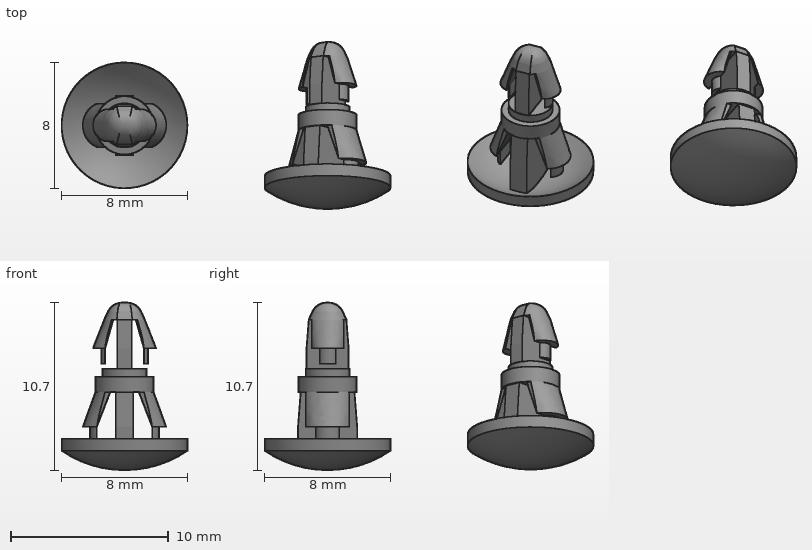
import cadquery as cq
import math

FOOT_RADIUS = 3.999
FOOT_RIM_BOTTOM = 1.25
FOOT_RIM_TOP = 2.0
HOLLOW_DEPTH = 1.47

COLLAR_RADIUS = 3.7 / 2
COLLAR_BOTTOM = 4.95
COLLAR_TOP = 5.94
STEP_RADIUS = 2.8 / 2
STEP_TOP = 6.45

NOSE_BOTTOM = 9.54
NOSE_SHOULDER = 10.09
NOSE_TOP = 10.65
NOSE_BASE_RADIUS = 1.3
NOSE_SHOULDER_RADIUS = 1.05
NOSE_TIP_RADIUS = 0.14
FLAT_DEPTH = 0.1

LOWER_WEB_THICKNESS = 1.13
LOWER_WEB_BOTTOM_HALF = 1.89
LOWER_WEB_TOP_HALF = 1.71
UPPER_WEB_THICKNESS = 0.94
UPPER_WEB_BOTTOM_HALF = 1.34
UPPER_WEB_TOP_HALF = NOSE_BASE_RADIUS - FLAT_DEPTH

LOWER_BARB_BOTTOM = 2.75
LOWER_BARB_HALF_WIDTH = 1.37
LOWER_BARB_INNER_TOP = 0.9
LOWER_BARB_INNER_BOTTOM = 1.76
LOWER_BARB_REACH = 2.65
LOWER_PEG_BOTTOM = 1.73
LOWER_PEG_HALF_WIDTH = 0.76
LOWER_PEG_DEPTH = 0.44
UPPER_BARB_BOTTOM = 7.74
UPPER_BARB_HALF_WIDTH = 1.01
UPPER_BARB_INNER_TOP = 0.71
UPPER_BARB_INNER_BOTTOM = 1.22
UPPER_BARB_REACH = 2.0
UPPER_PEG_BOTTOM = 6.75
UPPER_PEG_HALF_WIDTH = 0.506
UPPER_PEG_DEPTH = 0.27


def arc_radius(half_chord, rise):
    return (half_chord**2 + rise**2) / (2 * rise)


def disc(radius, bottom, top):
    return cq.Workplane("XY").workplane(offset=bottom).circle(radius).extrude(top - bottom)


def box_between(x_min, x_max, half_width, bottom, top):
    base = cq.Workplane("XY").box(x_max - x_min, 2 * half_width, top - bottom, centered=(False, True, False))
    return base.translate((x_min, 0, bottom))


def make_hollow():
    """Ball whose lower cap is the hollow in the foot."""
    radius = arc_radius(FOOT_RADIUS, HOLLOW_DEPTH)
    return cq.Workplane("XY").sphere(radius).translate((0, 0, FOOT_RIM_TOP - HOLLOW_DEPTH + radius))


def make_foot():
    radius = arc_radius(FOOT_RADIUS, FOOT_RIM_BOTTOM)
    bulge = cq.Workplane("XY").sphere(radius).translate((0, 0, radius))
    return disc(FOOT_RADIUS, 0, FOOT_RIM_TOP).intersect(bulge).cut(make_hollow())


def make_web(thickness, bottom_half, top_half, bottom, bend, top):
    outline = [
        (-bottom_half, bottom),
        (bottom_half, bottom),
        (bottom_half, bend),
        (top_half, top),
        (-top_half, top),
        (-bottom_half, bend),
    ]
    return cq.Workplane("YZ").polyline(outline).close().extrude(thickness / 2, both=True)


def make_peg(inner, half_width, depth, bottom, top):
    """Peg with a flat inner face and a round outer face."""
    radius = arc_radius(half_width, depth)
    cylinder = disc(radius, bottom, top).translate((inner + depth - radius, 0, 0))
    return cylinder.intersect(box_between(inner, inner + depth, half_width, bottom, top))


def make_barb(root_radius, half_width, inner_top, inner_bottom, reach, bottom, top):
    """Leaning barb: round outside, flat sloping inside, flat sides in Y."""
    tip_radius = arc_radius(half_width, reach - inner_bottom)
    shell = (
        cq.Workplane("XY").workplane(offset=bottom).center(tip_radius - reach, 0).circle(tip_radius)
        .workplane(offset=top - bottom).center(reach - tip_radius, 0).circle(root_radius)
        .loft(ruled=True)
        .rotate((0, 0, 0), (0, 0, 1), 180)
    )
    side_outline = [(inner_bottom, bottom), (reach, bottom), (reach, top), (inner_top, top)]
    envelope = cq.Workplane("XZ").polyline(side_outline).close().extrude(half_width, both=True)
    return shell.intersect(envelope)


def nose_half_outline(plane, inset):
    """Half outline of the nose, moved towards the axis by the inset at every level below the tip."""
    tip = NOSE_TIP_RADIUS - inset
    shoulder = NOSE_SHOULDER_RADIUS - inset
    round_radius = arc_radius(shoulder - tip, NOSE_TOP - NOSE_SHOULDER)
    start_angle = math.asin((shoulder - tip) / round_radius)
    middle = (
        tip + round_radius * math.sin(start_angle / 2),
        NOSE_TOP - round_radius * (1 - math.cos(start_angle / 2)),
    )
    return (
        cq.Workplane(plane)
        .moveTo(0, NOSE_BOTTOM)
        .lineTo(NOSE_BASE_RADIUS - inset, NOSE_BOTTOM)
        .lineTo(shoulder, NOSE_SHOULDER)
        .threePointArc(middle, (tip, NOSE_TOP))
        .lineTo(0, NOSE_TOP)
        .close()
    )


def make_nose():
    turned = nose_half_outline("XZ", 0).revolve(360, (0, 0, 0), (0, 1, 0))
    half_flat = nose_half_outline("YZ", FLAT_DEPTH).extrude(NOSE_BASE_RADIUS, both=True)
    return turned.intersect(half_flat.union(half_flat.mirror("XZ")))


def make_stem():
    lower_web = make_web(
        LOWER_WEB_THICKNESS, LOWER_WEB_BOTTOM_HALF, LOWER_WEB_TOP_HALF,
        0, LOWER_BARB_BOTTOM, COLLAR_BOTTOM,
    ).intersect(make_hollow())
    upper_web = make_web(
        UPPER_WEB_THICKNESS, UPPER_WEB_BOTTOM_HALF, UPPER_WEB_TOP_HALF,
        STEP_TOP, UPPER_BARB_BOTTOM, NOSE_BOTTOM,
    )
    lower_barb = make_barb(
        COLLAR_RADIUS, LOWER_BARB_HALF_WIDTH, LOWER_BARB_INNER_TOP, LOWER_BARB_INNER_BOTTOM,
        LOWER_BARB_REACH, LOWER_BARB_BOTTOM, COLLAR_BOTTOM,
    )
    upper_barb = make_barb(
        NOSE_BASE_RADIUS, UPPER_BARB_HALF_WIDTH, UPPER_BARB_INNER_TOP, UPPER_BARB_INNER_BOTTOM,
        UPPER_BARB_REACH, UPPER_BARB_BOTTOM, NOSE_BOTTOM,
    )
    lower_peg = make_peg(
        LOWER_BARB_INNER_BOTTOM, LOWER_PEG_HALF_WIDTH, LOWER_PEG_DEPTH, LOWER_PEG_BOTTOM, LOWER_BARB_BOTTOM
    )
    upper_peg = make_peg(
        UPPER_BARB_INNER_BOTTOM, UPPER_PEG_HALF_WIDTH, UPPER_PEG_DEPTH, UPPER_PEG_BOTTOM, UPPER_BARB_BOTTOM
    )
    stem = (
        lower_web
        .union(disc(COLLAR_RADIUS, COLLAR_BOTTOM, COLLAR_TOP))
        .union(disc(STEP_RADIUS, COLLAR_TOP, STEP_TOP))
        .union(upper_web)
        .union(make_nose())
    )
    for side_part in (lower_barb, lower_peg, upper_barb, upper_peg):
        stem = stem.union(side_part).union(side_part.mirror("YZ"))
    return stem


foot = make_foot()
stem = make_stem()
result = cq.Compound.makeCompound([foot.val(), stem.solids().val()])